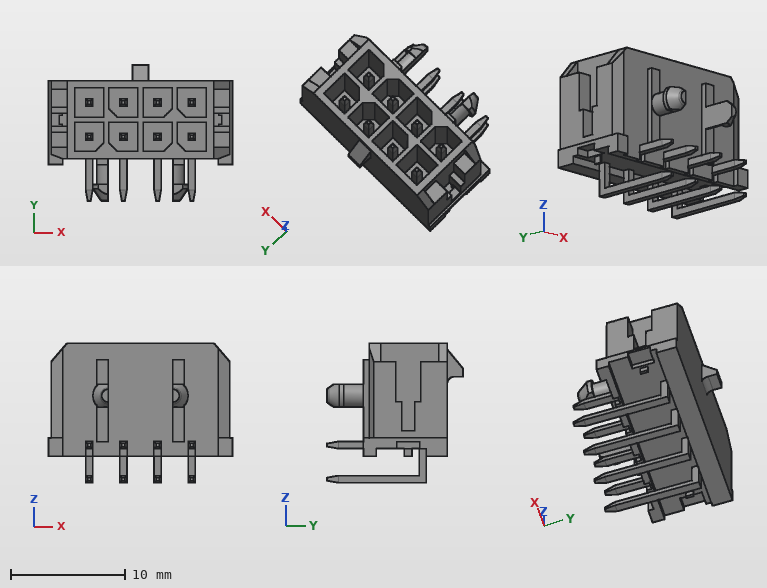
import cadquery as cq
import math


OVERALL_HEIGHT = 12.24
HEIGHT = 9.92
REAR_Y = 6.86
WALL_HALF_X = 6.44
SHELL_HALF_X = 7.84
WING_TOP_Z = 8.29
CORNER_HALF_X = 6.80
CORNER_Y = 0.40

BASE_WIDTH = 16.15
BASE_HALF_X = BASE_WIDTH / 2
BASE_TOP_Z = 1.63
BASE_FRONT_Y = -0.50
UNDERSIDE_Z = 0.67
FRONT_FOOT_Y = 0.63
TAIL_SLOT_DEPTH = 0.45
REAR_FOOT_Y = 5.01

SLOT_CENTER_Y = 3.42
TOP_RECESS_Y = (1.01, 6.08)
WIDE_SLOT_WIDTH = 2.18
WIDE_SLOT_FLOOR_Z = 4.80
NARROW_SLOT_WIDTH = 1.12
NARROW_SLOT_FLOOR_Z = 2.26
POCKET_HALF_X = 6.84
TONGUE_HALF_X = 7.14
TONGUE_WIDTH = 0.80
POCKET_DEPTH = 0.50
BASE_NOTCH_WIDTH = 2.03
BASE_NOTCH_TOP_Z = 1.30
TAB_WIDTH = 0.69
TAB_HALF_X = 6.64

PITCH = 3.0
COLUMNS = 4
FRONT_ROW_Y = 1.94
REAR_ROW_Y = FRONT_ROW_Y + PITCH
CAVITY_SIZE = 2.56
CAVITY_CHAMFER = 0.74
CAVITY_FLOOR_Z = 2.60
FRONT_ROW_KEYS = ("right", "left", "right", "left")
REAR_ROW_KEYS = (None, "left", "right", "left")

PIN_SIZE = 0.64
PIN_TIP_SIZE = 0.28
PIN_TAPER = 1.00
PIN_FRONT_Y = -3.71
CONTACT_TOP_Z = 7.70
CONTACT_BOTTOM_Z = HEIGHT - OVERALL_HEIGHT
UPPER_TAIL_Z = UNDERSIDE_Z + PIN_SIZE / 2
LOWER_TAIL_Z = CONTACT_BOTTOM_Z + PIN_SIZE / 2
LEG_Y = REAR_FOOT_Y - PIN_SIZE / 2

RIB_INNER_X = 2.84
PEG_RADIUS = 1.01
RIB_WIDTH = PEG_RADIUS
RIB_Z = (1.30, 8.48)
PEG_Z = 5.32
HEAD_RADIUS = 1.33
HEAD_BACK_Y = -2.24
HEAD_CONE_Y = -2.63
HEAD_RIM_RADIUS = 0.71
HEAD_RIM_Y = -3.54
HEAD_TIP_RADIUS = 0.56

LATCH_WIDTH = 1.44
LATCH_REACH_Y = 8.24
LATCH_TOP_Z = 9.36
LATCH_NOSE_TOP_Z = 7.70
LATCH_NOSE_BOTTOM_Z = 6.96
LATCH_FILLET = 0.56

COLUMN_XS = [(i - (COLUMNS - 1) / 2) * PITCH for i in range(COLUMNS)]


def box(x0, x1, y0, y1, z0, z1):
    """Axis-aligned block between two opposite corners."""
    return cq.Workplane("XY").box(x1 - x0, y1 - y0, z1 - z0, centered=False).translate((x0, y0, z0))


def centered_slot(x0, x1, width, z0, z1):
    """Block centred on the slot line of the end wings."""
    return box(x0, x1, SLOT_CENTER_Y - width / 2, SLOT_CENTER_Y + width / 2, z0, z1)


def on_both_ends(solid):
    """A feature of the +X end together with its mirror image."""
    return solid.union(solid.mirror("YZ"))


def make_shell():
    """Housing block with bevelled front corners and sloped upper ends."""
    plan = [
        (-CORNER_HALF_X, 0),
        (CORNER_HALF_X, 0),
        (SHELL_HALF_X, CORNER_Y),
        (SHELL_HALF_X, REAR_Y),
        (-SHELL_HALF_X, REAR_Y),
        (-SHELL_HALF_X, CORNER_Y),
    ]
    elevation = [
        (-SHELL_HALF_X, 0),
        (SHELL_HALF_X, 0),
        (SHELL_HALF_X, WING_TOP_Z),
        (WALL_HALF_X, HEIGHT),
        (-WALL_HALF_X, HEIGHT),
        (-SHELL_HALF_X, WING_TOP_Z),
    ]
    block = cq.Workplane("XY").polyline(plan).close().extrude(HEIGHT)
    sloped = cq.Workplane("XZ").polyline(elevation).close().extrude(-REAR_Y)
    return block.intersect(sloped)


def make_wing_cuts():
    """Open top recess, stepped slot and floor pocket of one end wing."""
    recess = box(WALL_HALF_X, BASE_HALF_X, *TOP_RECESS_Y, WING_TOP_Z, HEIGHT)
    wide = centered_slot(WALL_HALF_X, BASE_HALF_X, WIDE_SLOT_WIDTH, WIDE_SLOT_FLOOR_Z, HEIGHT)
    narrow = centered_slot(WALL_HALF_X, BASE_HALF_X, NARROW_SLOT_WIDTH, NARROW_SLOT_FLOOR_Z, HEIGHT)
    pocket_floor_z = NARROW_SLOT_FLOOR_Z - POCKET_DEPTH
    pocket = centered_slot(
        WALL_HALF_X, POCKET_HALF_X, NARROW_SLOT_WIDTH, pocket_floor_z, NARROW_SLOT_FLOOR_Z
    )
    tongue = centered_slot(
        WALL_HALF_X, TONGUE_HALF_X, TONGUE_WIDTH, pocket_floor_z, NARROW_SLOT_FLOOR_Z
    )
    return recess.union(wide).union(narrow).union(pocket).union(tongue)


def make_underside_cuts():
    """Channel between the feet, notches in its ends and slots for the contact tails."""
    cuts = box(-BASE_HALF_X, BASE_HALF_X, FRONT_FOOT_Y, REAR_FOOT_Y, 0, UNDERSIDE_Z)
    notch = centered_slot(POCKET_HALF_X, BASE_HALF_X, BASE_NOTCH_WIDTH, 0, BASE_NOTCH_TOP_Z)
    cuts = cuts.union(on_both_ends(notch))
    for x in COLUMN_XS:
        tail_slot = box(x - PIN_SIZE / 2, x + PIN_SIZE / 2, 0, TAIL_SLOT_DEPTH, 0, UNDERSIDE_Z)
        cuts = cuts.union(tail_slot)
    return cuts


def make_cavity(x, y, key):
    """Square contact cavity, with one front corner chamfered where it is keyed."""
    cavity = (
        cq.Workplane("XY", origin=(x, y, CAVITY_FLOOR_Z))
        .rect(CAVITY_SIZE, CAVITY_SIZE)
        .extrude(HEIGHT - CAVITY_FLOOR_Z)
    )
    if key == "left":
        return cavity.edges("|Z and <X and <Y").chamfer(CAVITY_CHAMFER)
    if key == "right":
        return cavity.edges("|Z and >X and <Y").chamfer(CAVITY_CHAMFER)
    return cavity


def make_bar(plane, origin, length):
    """Square contact bar running along the plane normal and ending in a tapered tip."""
    shank = cq.Workplane(plane, origin=origin).rect(PIN_SIZE, PIN_SIZE).extrude(length - PIN_TAPER)
    tip = (
        cq.Workplane(plane, origin=origin)
        .workplane(offset=length - PIN_TAPER)
        .rect(PIN_SIZE, PIN_SIZE)
        .workplane(offset=PIN_TAPER)
        .rect(PIN_TIP_SIZE, PIN_TIP_SIZE)
        .loft()
    )
    return shank.union(tip)


def make_column_contacts(x):
    """Front and rear contacts of one column: cavity pins, bent leg and horizontal tails."""
    half = PIN_SIZE / 2
    contact_length = CONTACT_TOP_Z - BASE_TOP_Z
    leg_rear_y = LEG_Y + half
    contacts = make_bar("XY", (x, FRONT_ROW_Y, BASE_TOP_Z), contact_length)
    contacts = contacts.union(make_bar("XY", (x, REAR_ROW_Y, BASE_TOP_Z), contact_length))
    contacts = contacts.union(make_bar("XZ", (x, FRONT_ROW_Y, UPPER_TAIL_Z), FRONT_ROW_Y - PIN_FRONT_Y))
    contacts = contacts.union(make_bar("XZ", (x, leg_rear_y, LOWER_TAIL_Z), leg_rear_y - PIN_FRONT_Y))
    leg = box(x - half, x + half, LEG_Y - half, leg_rear_y, LOWER_TAIL_Z - half, BASE_TOP_Z)
    return contacts.union(leg)


def make_peg():
    """Front rib on the +X side carrying a half-round snap peg with a conical head."""
    rib = box(RIB_INNER_X, RIB_INNER_X + RIB_WIDTH, BASE_FRONT_Y, 0, *RIB_Z)
    profile = [
        (0, 0),
        (PEG_RADIUS, 0),
        (PEG_RADIUS, HEAD_BACK_Y),
        (HEAD_RADIUS, HEAD_BACK_Y),
        (HEAD_RADIUS, HEAD_CONE_Y),
        (HEAD_RIM_RADIUS, HEAD_RIM_Y),
        (HEAD_TIP_RADIUS, PIN_FRONT_Y),
        (0, PIN_FRONT_Y),
    ]
    peg = (
        cq.Workplane("XY", origin=(RIB_INNER_X, 0, PEG_Z))
        .polyline(profile)
        .close()
        .revolve(360, (0, 0, 0), (0, 1, 0))
    )
    kept_half = box(
        RIB_INNER_X, RIB_INNER_X + HEAD_RADIUS, PIN_FRONT_Y, 0, PEG_Z - PEG_RADIUS, PEG_Z + PEG_RADIUS
    )
    return rib.union(peg.intersect(kept_half))


def make_latch():
    """Ramp on the rear wall with a concave fillet under its nose."""
    fillet_mid = LATCH_FILLET * (1 - math.cos(math.pi / 4))
    return (
        cq.Workplane("YZ", origin=(-LATCH_WIDTH / 2, 0, 0))
        .moveTo(REAR_Y, LATCH_TOP_Z)
        .lineTo(LATCH_REACH_Y, LATCH_NOSE_TOP_Z)
        .lineTo(LATCH_REACH_Y, LATCH_NOSE_BOTTOM_Z)
        .lineTo(REAR_Y + LATCH_FILLET, LATCH_NOSE_BOTTOM_Z)
        .threePointArc(
            (REAR_Y + fillet_mid, LATCH_NOSE_BOTTOM_Z - fillet_mid),
            (REAR_Y, LATCH_NOSE_BOTTOM_Z - LATCH_FILLET),
        )
        .close()
        .extrude(LATCH_WIDTH)
    )


def make_housing():
    """Moulded body with its cavities, end wings, base plates, pegs and latch."""
    end_plate = box(CORNER_HALF_X, BASE_HALF_X, BASE_FRONT_Y, REAR_Y, 0, BASE_TOP_Z)
    body = make_shell().union(on_both_ends(end_plate))
    body = body.cut(on_both_ends(make_wing_cuts())).cut(make_underside_cuts())
    for row_y, keys in ((FRONT_ROW_Y, FRONT_ROW_KEYS), (REAR_ROW_Y, REAR_ROW_KEYS)):
        for x, key in zip(COLUMN_XS, keys):
            body = body.cut(make_cavity(x, row_y, key))
    tab = centered_slot(WALL_HALF_X, TAB_HALF_X, TAB_WIDTH, 0, BASE_TOP_Z)
    return body.union(on_both_ends(tab)).union(on_both_ends(make_peg())).union(make_latch())


result = make_housing()
for column_x in COLUMN_XS:
    result = result.union(make_column_contacts(column_x))